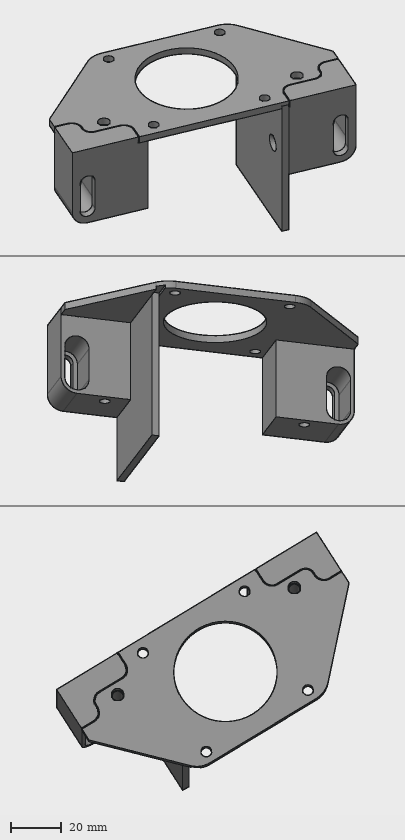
import cadquery as cq

depth = 57.2
width = 120.6
height = 63.0
half_width = width / 2

plate_thickness = 3.0
plate_side_x = 33.0
plate_slant_y = 29.0
plate_corner_radius = 10.0
motor_x = 28.2
motor_bore_diameter = 40.6
motor_hole_spacing = 47.2
motor_hole_diameter = 4.2

panel_front_x = 9.2
panel_outer_y = 31.7
panel_thickness = 3.0
panel_inner_y = panel_outer_y - panel_thickness
groove_depth = 1.2
panel_top_z = groove_depth - plate_thickness

bracket_front_x = 38.2
bracket_height = 35.9
plain_bracket_inner_y = 28.1
bracket_length_x = depth - bracket_front_x
tab_clearance = 0.5
tab_front_x = bracket_front_x + tab_clearance
tab_step_x = 47.6
tab_step_y = 50.8
tab_inner_y = panel_outer_y + tab_clearance
tab_corner_radius = 4.0

slot_y = 53.8
bracket_corner_radius = half_width - slot_y
slot_width = 6.3
slot_length = 19.7
recess_width = 9.9
recess_length = 23.0
slot_z = -22.9
slot_floor_thickness = 3.0

plate_screw_x = 42.7
plate_screw_y = 41.0
plate_screw_clearance = 5.0
plate_screw_hole = 4.2
panel_screw_x = (bracket_front_x + depth) / 2
panel_screw_z = -26.0
countersink_diameter = 7.0
panel_screw_hole = 2.5
countersink_depth = (countersink_diameter - panel_screw_hole) / 2
panel_screw_pilot_depth = 12.0


def box(x_range, y_range, z_range):
    """Box spanning the given (low, high) ranges."""
    sizes = [high - low for low, high in (x_range, y_range, z_range)]
    corner = (x_range[0], y_range[0], z_range[0])
    return cq.Workplane("XY").box(*sizes, centered=False).translate(corner)


def stepped_tab(gap):
    """Stepped bracket tab at plate level on the +Y side, grown outward by gap."""
    front_x = tab_front_x - gap
    step_x = tab_step_x - gap
    step_y = tab_step_y - gap
    inner_y = tab_inner_y - gap
    tab = (
        cq.Workplane("XY", origin=(0, 0, -plate_thickness))
        .polyline([
            (front_x, half_width),
            (front_x, step_y),
            (step_x, step_y),
            (step_x, inner_y),
            (depth, inner_y),
            (depth, half_width),
        ])
        .close()
        .extrude(plate_thickness)
    )
    corners = (
        (front_x, step_y, tab_corner_radius + gap),
        (step_x, step_y, tab_corner_radius - gap),
        (step_x, inner_y, tab_corner_radius + gap),
    )
    for x, y, radius in corners:
        tab = tab.edges(cq.NearestToPointSelector((x, y, -plate_thickness / 2))).fillet(radius)
    return tab


def make_plate():
    """Plate with motor bore and holes, bracket cutouts and a groove for the panel."""
    plate = (
        cq.Workplane("XY", origin=(0, 0, -plate_thickness))
        .polyline([
            (0, -plate_slant_y),
            (plate_side_x, -half_width),
            (depth, -half_width),
            (depth, half_width),
            (plate_side_x, half_width),
            (0, plate_slant_y),
        ])
        .close()
        .extrude(plate_thickness)
    )
    plate = plate.edges("|Z and <X").fillet(plate_corner_radius)
    plate = (
        plate.faces(">Z").workplane(origin=(motor_x, 0, 0))
        .hole(motor_bore_diameter)
        .faces(">Z").workplane(origin=(motor_x, 0, 0))
        .rect(motor_hole_spacing, motor_hole_spacing, forConstruction=True)
        .vertices()
        .hole(motor_hole_diameter)
        .faces(">Z").workplane(origin=(plate_screw_x, 0, 0))
        .pushPoints([(0, plate_screw_y), (0, -plate_screw_y)])
        .hole(plate_screw_clearance)
    )
    cutout = stepped_tab(tab_clearance)
    groove = box((0, depth), (panel_inner_y, panel_outer_y), (-plate_thickness, panel_top_z))
    return plate.cut(cutout).cut(cutout.mirror("XZ")).cut(groove)


def panel_screw_bore():
    """Bore for the panel screw, through the panel and on into the bracket."""
    return cq.Workplane(cq.Solid.makeCylinder(
        panel_screw_hole / 2,
        panel_thickness + panel_screw_pilot_depth,
        cq.Vector(panel_screw_x, panel_inner_y, panel_screw_z),
        cq.Vector(0, 1, 0),
    ))


def make_panel():
    """Vertical panel with a countersunk screw hole opening on its inner face."""
    panel = box((panel_front_x, depth), (panel_inner_y, panel_outer_y), (-height, panel_top_z))
    countersink = cq.Workplane(cq.Solid.makeCone(
        countersink_diameter / 2,
        panel_screw_hole / 2,
        countersink_depth,
        cq.Vector(panel_screw_x, panel_inner_y, panel_screw_z),
        cq.Vector(0, 1, 0),
    ))
    return panel.cut(countersink).cut(panel_screw_bore())


def slot_cut(start_x, slot_size, slot_height):
    """Vertical rounded slot running from start_x to the back of the bracket."""
    return (
        cq.Workplane("YZ", origin=(start_x, slot_y, slot_z))
        .slot2D(slot_height, slot_size, 90)
        .extrude(depth - start_x)
    )


def make_bracket(inner_y):
    """Bracket on the +Y side whose lower block reaches inward to inner_y."""
    block = box((bracket_front_x, depth), (inner_y, half_width), (-bracket_height, -plate_thickness))
    block = block.edges("|X and >Y and <Z").fillet(bracket_corner_radius)
    bracket = block.union(stepped_tab(0))

    recess_depth = bracket_length_x - slot_floor_thickness
    recess = slot_cut(bracket_front_x, recess_width, recess_length)
    recess = recess.intersect(box(
        (bracket_front_x, bracket_front_x + recess_depth), (0, half_width), (-bracket_height, 0)
    ))
    through_slot = slot_cut(bracket_front_x, slot_width, slot_length)

    screw_hole = (
        cq.Workplane("XY", origin=(plate_screw_x, plate_screw_y, -bracket_height))
        .circle(plate_screw_hole / 2)
        .extrude(bracket_height)
    )
    return bracket.cut(recess).cut(through_slot).cut(screw_hole)


plate = make_plate()
panel = make_panel()

panel_bracket = make_bracket(panel_outer_y).cut(panel_screw_bore())
plain_bracket = make_bracket(plain_bracket_inner_y).mirror("XZ")

result = cq.Compound.makeCompound([
    *plate.solids().vals(),
    *panel.solids().vals(),
    *panel_bracket.solids().vals(),
    *plain_bracket.solids().vals(),
])